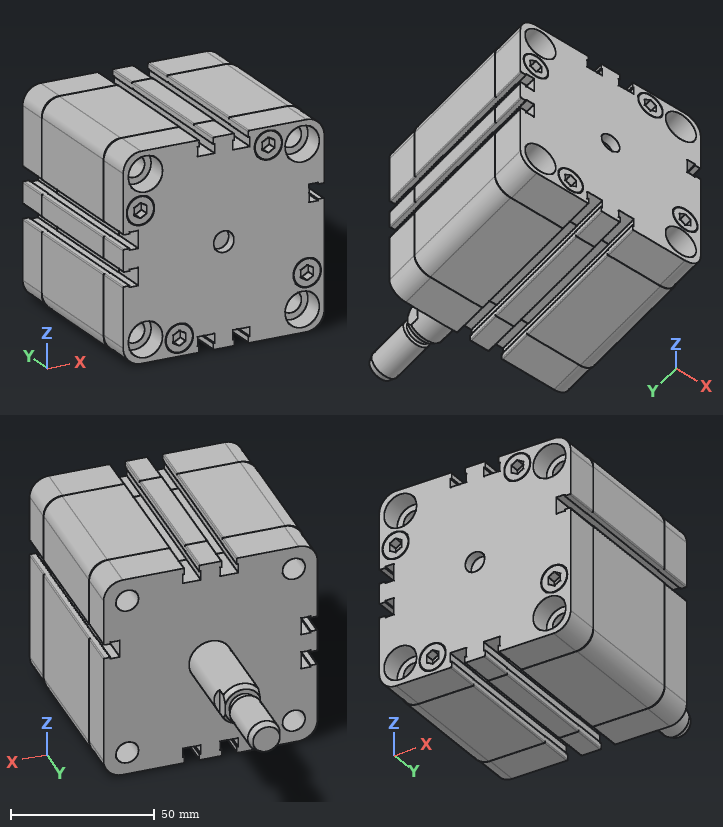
import cadquery as cq
import math


body_width = 80.0
body_length = 75.0
cap_length = 14.5
cap_inset = 0.1
cap_width = body_width - 2 * cap_inset
cap_corner_radius = 7.1
tube_corner_radius = 6.8
tube_length = body_length - 2 * cap_length

groove_depth = 6.0
lip_depth = 2.5
groove_width = 6.7
mouth_width = 5.5
mouth_edge_radius = 0.4
pair_offset = 7.0
single_offset = 12.0

mount_offset = 31.0
mount_diameter = 8.4
mount_bore_diameter = 13.5
mount_bore_depth = 8.5

screw_long_offset = 33.0
screw_short_offset = 17.6
screw_recess_diameter = 11.0
screw_head_diameter = 10.5
screw_recess_depth = 6.0
socket_across_flats = 5.0
socket_depth = 4.0

centre_hole_diameter = 8.0
centre_hole_depth = 4.0

total_length = 131.5
rod_diameter = 16.0
rod_flats_width = 13.0
rod_flats_length = 5.8
shoulder_chamfer_length = 2.0
shoulder_end_diameter = 13.5
thread_diameter = 12.0
thread_stud_length = 23.9
thread_relief_diameter = 10.0
thread_relief_length = 2.5
thread_runout_length = 0.7
tip_diameter = 10.0
tip_chamfer_length = 2.6


def plane_at(y):
    """Workplane at the given Y, with local x = X, local y = Z and extrusion toward +Y."""
    return cq.Workplane(cq.Plane(origin=(0, y, 0), xDir=(1, 0, 0), normal=(0, -1, 0)))


def rounded_block(width, corner_radius, y_start, length):
    block = plane_at(y_start).rect(width, width).extrude(-length)
    return block.edges("|Y").fillet(corner_radius)


def cylinders(points, diameter, depth):
    return plane_at(0).pushPoints(points).circle(diameter / 2).extrude(-depth)


def groove_section(side_width, y_start, length):
    """Groove in the +Z side of a block, centred on X = 0, with rounded mouth edges."""
    side = side_width / 2
    floor = side - groove_depth
    lip = side - lip_depth
    half_groove = groove_width / 2
    half_mouth = mouth_width / 2
    half_opening = half_mouth + mouth_edge_radius
    bend = side - mouth_edge_radius
    outline = (
        plane_at(y_start)
        .moveTo(-half_groove, floor)
        .lineTo(half_groove, floor)
        .lineTo(half_groove, lip)
        .lineTo(half_mouth, lip)
        .lineTo(half_mouth, bend)
        .radiusArc((half_opening, side), mouth_edge_radius)
        .lineTo(-half_opening, side)
        .radiusArc((-half_mouth, bend), mouth_edge_radius)
        .lineTo(-half_mouth, lip)
        .lineTo(-half_groove, lip)
        .close()
    )
    return outline.extrude(-length)


def groove(side_angle, offset):
    """Full-length groove on the side reached by turning the +Z side about Y toward +X."""
    rear = groove_section(cap_width, 0, cap_length)
    middle = groove_section(body_width, cap_length, tube_length)
    front = groove_section(cap_width, body_length - cap_length, cap_length)
    whole = rear.union(middle).union(front).translate((offset, 0, 0))
    return whole.rotate((0, 0, 0), (0, 1, 0), side_angle)


def make_body():
    rear_cap = rounded_block(cap_width, cap_corner_radius, 0, cap_length)
    tube = rounded_block(body_width, tube_corner_radius, cap_length, tube_length)
    front_cap = rounded_block(cap_width, cap_corner_radius, body_length - cap_length, cap_length)
    return rear_cap.union(tube).union(front_cap)


def cut_grooves(body):
    for side_angle in (0, 180, 270):
        for offset in (-pair_offset, pair_offset):
            body = body.cut(groove(side_angle, offset))
    return body.cut(groove(90, -single_offset))


def cut_mounting_holes(body):
    points = [(x, z) for x in (-mount_offset, mount_offset) for z in (-mount_offset, mount_offset)]
    body = body.cut(cylinders(points, mount_diameter, body_length))
    return body.cut(cylinders(points, mount_bore_diameter, mount_bore_depth))


def cut_screws(body):
    """Leave each screw head standing in its recess, with a hexagon socket."""
    points = [
        (screw_short_offset, screw_long_offset),
        (screw_long_offset, -screw_short_offset),
        (-screw_short_offset, -screw_long_offset),
        (-screw_long_offset, screw_short_offset),
    ]
    gap = cylinders(points, screw_recess_diameter, screw_recess_depth)
    gap = gap.cut(cylinders(points, screw_head_diameter, screw_recess_depth))
    body = body.cut(gap)
    across_corners = socket_across_flats / math.cos(math.pi / 6)
    for x, z in points:
        socket = plane_at(0).polygon(6, across_corners).extrude(-socket_depth)
        socket = socket.rotate((0, 0, 0), (0, 1, 0), 30).translate((x, 0, z))
        body = body.cut(socket)
    return body


def make_rod():
    shoulder = total_length - thread_stud_length
    relief_end = shoulder + thread_relief_length
    profile = [
        (0, body_length - cap_length),
        (rod_diameter / 2, body_length - cap_length),
        (rod_diameter / 2, shoulder - shoulder_chamfer_length),
        (shoulder_end_diameter / 2, shoulder),
        (thread_relief_diameter / 2, shoulder),
        (thread_relief_diameter / 2, relief_end),
        (thread_diameter / 2, relief_end + thread_runout_length),
        (thread_diameter / 2, total_length - tip_chamfer_length),
        (tip_diameter / 2, total_length),
        (0, total_length),
    ]
    rod = cq.Workplane("XY").polyline(profile).close().revolve(360, (0, 0, 0), (0, 1, 0))

    flat_x = rod_flats_width / 2
    outer_x = rod_diameter / 2
    flat_start = shoulder - rod_flats_length
    flat_outline = [
        (flat_x, shoulder),
        (flat_x, flat_start),
        (outer_x, flat_start - (outer_x - flat_x)),
        (outer_x, shoulder),
    ]
    flat = cq.Workplane("XY").polyline(flat_outline).close().extrude(rod_diameter / 2, both=True)
    return rod.cut(flat).cut(flat.mirror("YZ"))


body = cut_screws(cut_mounting_holes(cut_grooves(make_body())))
body = body.cut(cylinders([(0, 0)], centre_hole_diameter, centre_hole_depth))
result = body.union(make_rod())